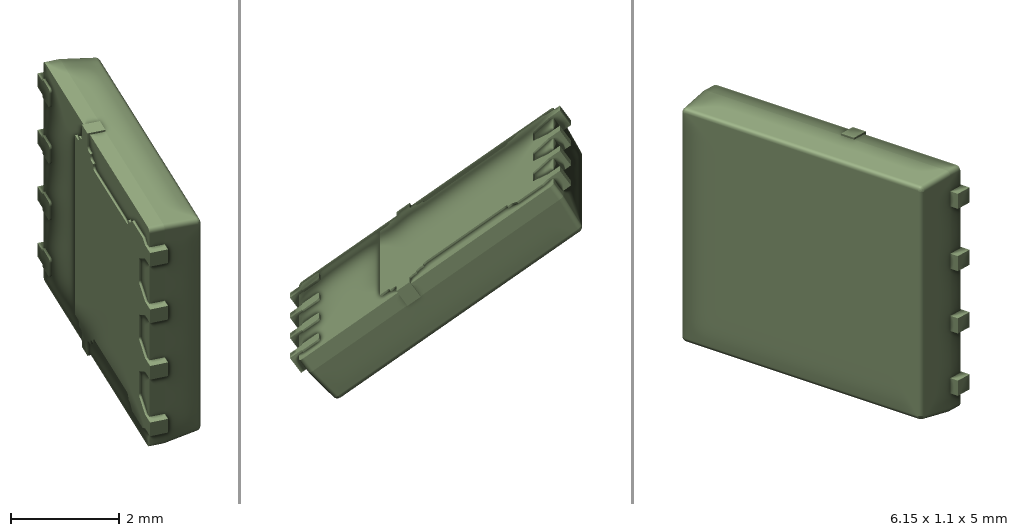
import cadquery as cq
import math

overall_length = 6.15
overall_width = 5.0
overall_thickness = 1.1

housing_length = 5.8
housing_width = 4.92
standoff = 0.05
frame_thickness = 0.35
draft_angle = 6.5
corner_radius = 0.1
rim_radius = 0.085

lead_count = 4
lead_row_span = 3.81
lead_pitch = lead_row_span / (lead_count - 1)
lead_width = 0.31
lead_foot_width = 0.41
lead_neck_length = 0.275
lead_length = 0.66
lead_corner_radius = 0.075

pad_left = -1.03
pad_step_length = 0.155
pad_step_height = 0.12
pad_shoulder = 2.14
tie_bar_center = -0.5
tie_bar_width = 0.3
pad_notch_end = 1.88
pad_slope_start = 1.975
pad_shoulder_end = 2.675
lead_root = 2.805
bay_floor = 2.46
bay_half_width = 0.27
pad_corner_radius = 0.075

corner_tolerance = 0.005

lead_tip = overall_length / 2
lead_positions = [(i - (lead_count - 1) / 2) * lead_pitch for i in range(lead_count)]


def round_corners(plate, corners, radius):
    """Round the plate's Y edges that pass through the given (x, z) corners."""
    def at_corner(edge):
        center = edge.Center()
        return any(math.hypot(center.x - x, center.z - z) < corner_tolerance for x, z in corners)

    return plate.edges("|Y").filter(at_corner).fillet(radius)


def make_plate(outline):
    """Extrude an (x, z) outline to the thickness of the metal frame, from Y = 0 backwards."""
    return cq.Workplane("XZ").polyline(outline).close().extrude(-frame_thickness)


def make_lead(z):
    """Source or gate lead: a narrow neck outside and a wider foot inside the housing."""
    foot_length = lead_length - lead_neck_length
    neck_center = -lead_tip + lead_neck_length / 2
    foot_center = -lead_tip + lead_length - foot_length / 2
    neck = (
        cq.Workplane("XZ", origin=(neck_center, 0, z))
        .rect(lead_neck_length, lead_width)
        .extrude(-frame_thickness)
    )
    foot = (
        cq.Workplane("XZ", origin=(foot_center, 0, z))
        .rect(foot_length, lead_foot_width)
        .extrude(-frame_thickness)
        .edges("|Y and >X")
        .fillet(lead_corner_radius)
    )
    return neck.union(foot)


def make_drain_pad():
    """Drain pad with two tie bars and four leads, symmetric about Z = 0."""
    middle_step = pad_shoulder - pad_step_height
    notch_floor = middle_step - pad_step_height
    bar_left = tie_bar_center - tie_bar_width / 2
    bar_right = tie_bar_center + tie_bar_width / 2
    stair_left = bar_left - pad_step_length
    stair_first = bar_right + pad_step_length
    stair_second = stair_first + pad_step_length

    upper_side = [
        (pad_left, middle_step),
        (stair_left, middle_step),
        (stair_left, pad_shoulder),
        (bar_left, pad_shoulder),
        (bar_left, overall_width / 2),
        (bar_right, overall_width / 2),
        (bar_right, pad_shoulder),
        (stair_first, pad_shoulder),
        (stair_first, middle_step),
        (stair_second, middle_step),
        (stair_second, notch_floor),
        (pad_notch_end, notch_floor),
        (pad_notch_end, middle_step),
        (pad_slope_start, middle_step),
        (pad_slope_start + pad_step_height, pad_shoulder),
        (pad_shoulder_end, pad_shoulder),
    ]
    lower_side = [(x, -z) for x, z in reversed(upper_side)]

    right_side = []
    bay_corners = []
    for z in reversed(lead_positions):
        right_side += [
            (lead_root, z + lead_width / 2),
            (lead_tip, z + lead_width / 2),
            (lead_tip, z - lead_width / 2),
            (lead_root, z - lead_width / 2),
        ]
        if z > lead_positions[0]:
            bay_center = z - lead_pitch / 2
            floor = [(bay_floor, bay_center + bay_half_width), (bay_floor, bay_center - bay_half_width)]
            right_side += floor
            bay_corners += floor

    upper_corners = [
        (stair_left, middle_step),
        (bar_left, pad_shoulder),
        (bar_right, pad_shoulder),
        (stair_first, middle_step),
        (stair_second, notch_floor),
        (pad_notch_end, notch_floor),
        (pad_slope_start, middle_step),
    ]
    lower_corners = [(x, -z) for x, z in upper_corners]
    pad = make_plate(upper_side + right_side + lower_side)
    return round_corners(pad, upper_corners + lower_corners + bay_corners, pad_corner_radius)


def make_housing(metal_parts):
    """Moulded block, straight around the metal and drafted behind it, with pockets for the metal."""
    straight_part = (
        cq.Workplane("XZ", origin=(0, standoff, 0))
        .rect(housing_length, housing_width)
        .extrude(standoff - frame_thickness)
        .edges("|Y")
        .fillet(corner_radius)
    )
    drafted_part = (
        cq.Workplane("XZ", origin=(0, frame_thickness, 0))
        .rect(housing_length, housing_width)
        .extrude(frame_thickness - overall_thickness, taper=draft_angle)
        .edges("not(#Y)")
        .fillet(corner_radius)
        .faces(">Y")
        .edges()
        .fillet(rim_radius)
    )
    housing = straight_part.union(drafted_part)
    for part in metal_parts:
        housing = housing.cut(part)
    return housing


leads = [make_lead(z) for z in lead_positions]
drain_pad = make_drain_pad()
housing = make_housing(leads + [drain_pad])

result = cq.Compound.makeCompound([housing.val(), drain_pad.val(), *[lead.val() for lead in leads]])